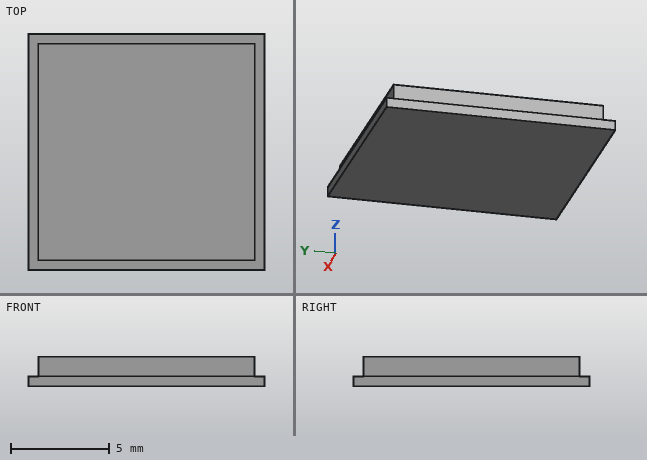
import cadquery as cq

SIDE = 12.0
TOTAL_HEIGHT = 1.5

BASE_THICKNESS = 0.5
BORDER = 0.5

LID_SIDE = SIDE - 2 * BORDER
LID_HEIGHT = TOTAL_HEIGHT - BASE_THICKNESS


def square_plate(side, thickness, bottom_z):
    """Square plate centred on the Z axis, standing on the given height."""
    return cq.Workplane("XY").workplane(offset=bottom_z).rect(side, side).extrude(thickness)


base = square_plate(SIDE, BASE_THICKNESS, 0)

lid = square_plate(LID_SIDE, LID_HEIGHT, BASE_THICKNESS)

result = cq.Compound.makeCompound([base.val(), lid.val()])